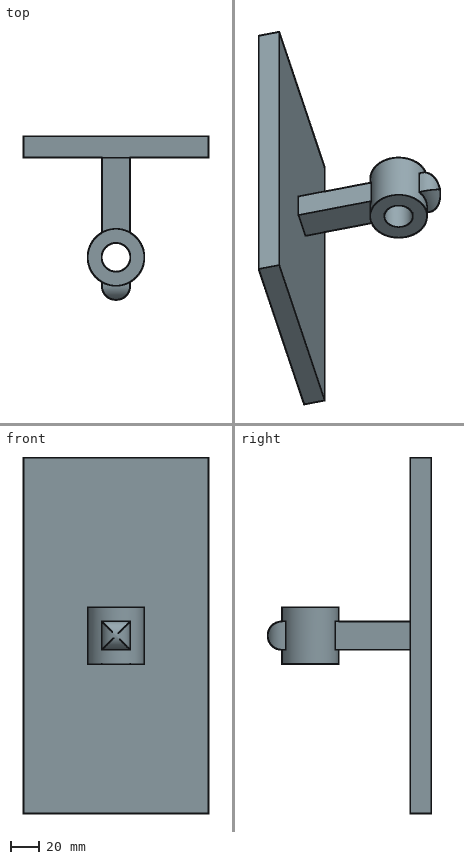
import cadquery as cq

plate_width = 130
plate_height = 250
plate_thickness = 15

arm_size = 20

sleeve_diameter = 40
sleeve_height = 40
bore_diameter = 20
sleeve_reach = 70

cap_reach = sleeve_reach + sleeve_diameter / 2


def make_plate():
    return cq.Workplane("XY").box(
        plate_width, plate_thickness, plate_height, centered=(True, False, True)
    )


def make_arm():
    return cq.Workplane("XZ").rect(arm_size, arm_size).extrude(cap_reach)


def make_upright_cylinder(diameter):
    return (
        cq.Workplane("XY", origin=(0, -sleeve_reach, -sleeve_height / 2))
        .circle(diameter / 2)
        .extrude(sleeve_height)
    )


def make_cap():
    """Cross-vault cap: the common volume of an X and a Z cylinder."""
    across = (
        cq.Workplane("YZ")
        .center(-cap_reach, 0)
        .circle(arm_size / 2)
        .extrude(arm_size / 2, both=True)
    )
    upright = (
        cq.Workplane("XY")
        .center(0, -cap_reach)
        .circle(arm_size / 2)
        .extrude(arm_size / 2, both=True)
    )
    front_half = (
        cq.Workplane("XZ", origin=(0, -cap_reach, 0))
        .rect(arm_size, arm_size)
        .extrude(arm_size / 2)
    )
    return across.intersect(upright).intersect(front_half)


result = (
    make_plate()
    .union(make_arm())
    .union(make_upright_cylinder(sleeve_diameter))
    .union(make_cap())
    .cut(make_upright_cylinder(bore_diameter))
)